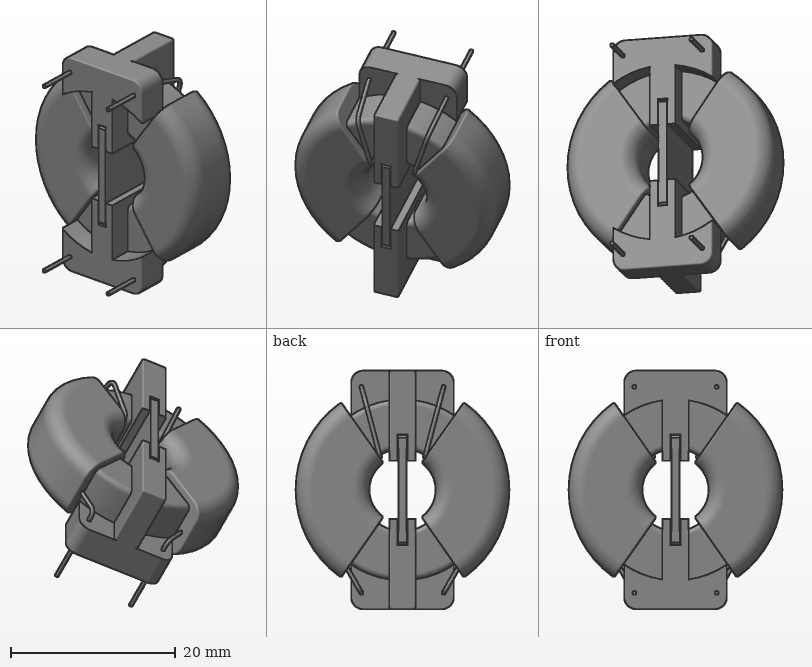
import cadquery as cq
import math


CORE_OUTER_RADIUS = 11.0
CORE_INNER_RADIUS = 5.0
CORE_THICKNESS = 6.0
CORE_ROUND = 0.65

WINDING_OUTER_RADIUS = 13.0
WINDING_INNER_RADIUS = 4.0
WINDING_THICKNESS = 8.0
WINDING_ROUND = 2.0
WINDING_END_ROUND = 0.23
WINDING_GAP_HALF_ANGLE = 35

HOLDER_HALF_HEIGHT = 14.5
HOLDER_DEPTH = 12.0
HOLDER_FRONT_Y = -HOLDER_DEPTH / 2
FOOT_WIDTH = 12.5
FOOT_THICKNESS = 4.0
FOOT_BACK_Y = HOLDER_FRONT_Y + FOOT_THICKNESS
FOOT_CORNER_RADIUS = 1.5
FOOT_FRONT_ROUND = 0.2
SPINE_WIDTH = 3.2
SPINE_INNER_Z = 3.5
SPINE_SIDE_ROUND = 0.3
SPINE_BACK_ROUND = 0.2

PLATE_THICKNESS = 1.02
PLATE_HEIGHT = 13.28
PLATE_CHAMFER = 0.3
SLOT_CLEARANCE = 0.102

WIRE_DIAMETER = 0.5
PIN_X = 5.0
PIN_Z = 12.5
PIN_LENGTH = 5.0
PIN_TIP_Y = HOLDER_FRONT_Y - PIN_LENGTH
WIRE_ANCHOR = 0.3
WIRE_STUB = 0.3
UPPER_BEND_RADIUS = 1.45
UPPER_END_BEND_RADIUS = 0.8
UPPER_WIRE_Y = 3.75
UPPER_BEND_X = 4.52
UPPER_BEND_Z = 10.8
UPPER_END_X = 2.73
UPPER_END_Z = 4.0
UPPER_END_DROP = 1.75
LOWER_BEND_RADIUS = 0.9
LOWER_WIRE_Y = -0.5
LOWER_WIRE_TILT = 30
LOWER_WIRE_LENGTH = 3.77


def mirror_copy(shape, plane):
    return shape.union(shape.mirror(plane))


def make_core():
    ring = (
        cq.Workplane("XZ")
        .circle(CORE_OUTER_RADIUS)
        .circle(CORE_INNER_RADIUS)
        .extrude(CORE_THICKNESS / 2, both=True)
    )
    ring = ring.faces(">Y").edges().fillet(CORE_ROUND)
    return ring.faces("<Y").edges(cq.selectors.RadiusNthSelector(0)).fillet(CORE_ROUND)


def make_windings():
    sweep_angle = 180 - 2 * WINDING_GAP_HALF_ANGLE
    radial_width = WINDING_OUTER_RADIUS - WINDING_INNER_RADIUS
    middle_radius = (WINDING_OUTER_RADIUS + WINDING_INNER_RADIUS) / 2
    profile = (
        cq.Sketch()
        .rect(radial_width, WINDING_THICKNESS)
        .vertices()
        .fillet(WINDING_ROUND)
        .moved(cq.Location(cq.Vector(middle_radius, 0, 0)))
    )
    winding = (
        cq.Workplane("XY")
        .placeSketch(profile)
        .revolve(sweep_angle, (0, 0, 0), (0, 1, 0))
        .rotate((0, 0, 0), (0, 1, 0), -sweep_angle / 2)
    )
    end_faces = winding.faces("%PLANE and (not |Y)")
    winding = end_faces.edges().fillet(WINDING_END_ROUND)
    return mirror_copy(winding, "YZ")


def make_foot():
    foot = (
        cq.Workplane("XY")
        .box(FOOT_WIDTH, FOOT_THICKNESS, HOLDER_HALF_HEIGHT, centered=(True, False, False))
        .translate((0, HOLDER_FRONT_Y, 0))
        .edges("|Y and >Z")
        .fillet(FOOT_CORNER_RADIUS)
        .faces("<Y")
        .edges("not <Z")
        .fillet(FOOT_FRONT_ROUND)
    )
    seat = cq.Workplane("XZ").circle(CORE_OUTER_RADIUS).extrude(HOLDER_DEPTH, both=True)
    return foot.cut(seat)


def make_spine():
    spine_height = HOLDER_HALF_HEIGHT - SPINE_INNER_Z
    back_depth = HOLDER_DEPTH - FOOT_THICKNESS
    back = (
        cq.Workplane("XY")
        .box(SPINE_WIDTH, back_depth, spine_height, centered=(True, False, False))
        .translate((0, FOOT_BACK_Y, SPINE_INNER_Z))
        .edges("|Y and >Z")
        .fillet(SPINE_SIDE_ROUND)
        .faces(">Y")
        .edges("not <Z")
        .fillet(SPINE_BACK_ROUND)
    )
    front_height = CORE_OUTER_RADIUS - SPINE_INNER_Z
    front = (
        cq.Workplane("XY")
        .box(SPINE_WIDTH, FOOT_THICKNESS, front_height, centered=(True, False, False))
        .translate((0, HOLDER_FRONT_Y, SPINE_INNER_Z))
    )
    return back.union(front)


def make_holder():
    slot = cq.Workplane("XY").box(
        PLATE_THICKNESS + 2 * SLOT_CLEARANCE,
        HOLDER_DEPTH,
        PLATE_HEIGHT + 2 * SLOT_CLEARANCE,
    )
    upper_half = make_foot().union(make_spine())
    return mirror_copy(upper_half, "XY").cut(slot)


def make_plate():
    plate = cq.Workplane("XY").box(PLATE_THICKNESS, HOLDER_DEPTH, PLATE_HEIGHT)
    return plate.edges("|X").chamfer(PLATE_CHAMFER)


def bent_wire(start, bends, end):
    """Round wire from start to end, with a rounded bend at each (corner, radius) of bends."""
    start, end = cq.Vector(start), cq.Vector(end)
    corners = [cq.Vector(corner) for corner, radius in bends]
    edges = []
    position = start
    for index, (corner, (_, radius)) in enumerate(zip(corners, bends)):
        next_point = corners[index + 1] if index + 1 < len(corners) else end
        to_back = (position - corner).normalized()
        to_next = (next_point - corner).normalized()
        half_angle = to_back.getAngle(to_next) / 2
        setback = radius / math.tan(half_angle)
        bend_depth = radius / math.sin(half_angle) - radius
        bend_start = corner + to_back * setback
        bend_middle = corner + (to_back + to_next).normalized() * bend_depth
        bend_end = corner + to_next * setback
        edges.append(cq.Edge.makeLine(position, bend_start))
        edges.append(cq.Edge.makeThreePointArc(bend_start, bend_middle, bend_end))
        position = bend_end
    edges.append(cq.Edge.makeLine(position, end))
    path = cq.Workplane(cq.Wire.assembleEdges(edges))
    section = cq.Workplane(cq.Plane(start, normal=corners[0] - start)).circle(WIRE_DIAMETER / 2)
    return section.sweep(path)


def make_pins():
    return (
        cq.Workplane("XZ", origin=(0, PIN_TIP_Y, 0))
        .pushPoints([(PIN_X, PIN_Z), (PIN_X, -PIN_Z)])
        .circle(WIRE_DIAMETER / 2)
        .extrude(-PIN_LENGTH - WIRE_ANCHOR)
    )


def make_upper_wire():
    return bent_wire(
        (PIN_X, FOOT_BACK_Y - WIRE_ANCHOR, PIN_Z),
        [
            ((PIN_X, FOOT_BACK_Y + WIRE_STUB, PIN_Z), UPPER_BEND_RADIUS),
            ((UPPER_BEND_X, UPPER_WIRE_Y, UPPER_BEND_Z), UPPER_BEND_RADIUS),
            ((UPPER_END_X, UPPER_WIRE_Y, UPPER_END_Z), UPPER_END_BEND_RADIUS),
        ],
        (UPPER_END_X, UPPER_WIRE_Y - UPPER_END_DROP, UPPER_END_Z),
    )


def make_lower_wire():
    tilt = math.radians(LOWER_WIRE_TILT)
    end_x = PIN_X + LOWER_WIRE_LENGTH * math.sin(tilt)
    end_z = -PIN_Z + LOWER_WIRE_LENGTH * math.cos(tilt)
    return bent_wire(
        (PIN_X, FOOT_BACK_Y - WIRE_ANCHOR, -PIN_Z),
        [((PIN_X, LOWER_WIRE_Y, -PIN_Z), LOWER_BEND_RADIUS)],
        (end_x, LOWER_WIRE_Y, end_z),
    )


def make_terminals():
    right_side = make_pins().union(make_upper_wire()).union(make_lower_wire())
    return mirror_copy(right_side, "YZ")


result = (
    make_core()
    .union(make_windings())
    .union(make_holder())
    .union(make_plate())
    .union(make_terminals())
)